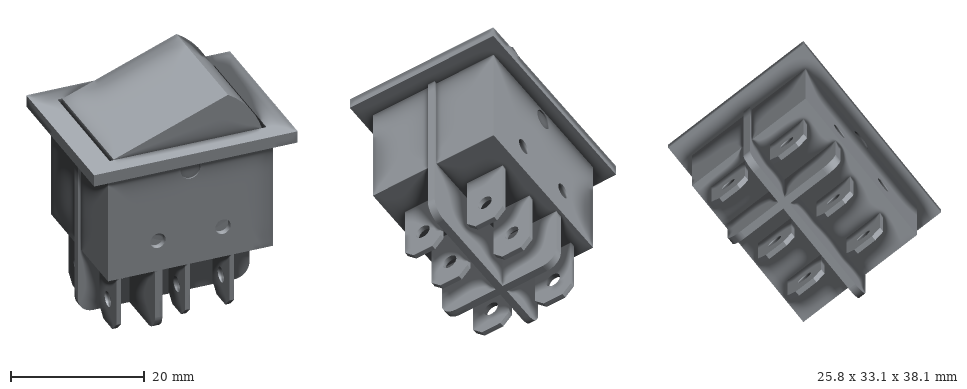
import cadquery as cq
import math

peak_z = 38.1
flange_top_z = 31.12
flange_thickness = 1.95
case_bottom_z = 10.9
flange_bottom_z = flange_top_z - flange_thickness

flange_width = 25.8
flange_length = 33.15
case_width = 21.67
case_length = 26.85
opening_width = 19.8
opening_length = 25.52
floor_thickness = 0.95

rib_thickness = 1.2
rib_corner_radius = 2.48
long_rib_length = 27.92
cross_rib_length = 20.55
cross_rib_y = -4.95

side_hole_diameter = 2.48
side_hole_spacing = 10.6
side_hole_z = 16.07

running_gap = 0.1
pivot_z = 27.27
pivot_diameter = 3.2
pivot_end_recess = 0.23
rocker_radius = opening_length / 2 - running_gap
rocker_width = opening_width - 2 * running_gap
rocker_tilt = 20.5
pivot_length = case_width - 2 * pivot_end_recess

blade_width = 6.4
blade_thickness = 0.8
blade_chamfer = 1.52
blade_bottom_z = 0.1
blade_hole_diameter = 2.45
blade_hole_z = 4.4
blade_column_spacing = 10.9
blade_rows_y = (7.28, 0.08, -11.12)
right_column_shift_y = 0.38


def block(width, length, bottom_z, top_z):
    """Box centred on the Z axis between two heights."""
    return cq.Workplane("XY", origin=(0, 0, bottom_z)).rect(width, length).extrude(top_z - bottom_z)


def cylinder_along_x(diameter, length, y, z):
    """Cylinder parallel to X, centred on the plane X = 0."""
    start = cq.Workplane("YZ", origin=(-length / 2, y, z))
    return start.circle(diameter / 2).extrude(length)


def make_long_rib():
    """Rib along Y that reaches up to the flange and stands proud of the case ends."""
    rib = block(rib_thickness, long_rib_length, 0, flange_bottom_z)
    return rib.edges("|X and <Z").fillet(rib_corner_radius)


def make_cross_rib():
    """Rib along X below the case."""
    rib = block(cross_rib_length, rib_thickness, 0, case_bottom_z)
    return rib.edges("|Y and <Z").fillet(rib_corner_radius).translate((0, cross_rib_y, 0))


def make_housing():
    """Flanged case with its ribs, open at the top, with pivot and side holes."""
    flange = block(flange_width, flange_length, flange_bottom_z, flange_top_z)
    case = block(case_width, case_length, case_bottom_z, flange_bottom_z)
    cavity = block(opening_width, opening_length, case_bottom_z + floor_thickness, flange_top_z)

    housing = flange.union(case).union(make_long_rib()).union(make_cross_rib()).cut(cavity)
    for side in (-1, 1):
        hole_y = side * side_hole_spacing / 2
        housing = housing.cut(cylinder_along_x(side_hole_diameter, case_width, hole_y, side_hole_z))
    return housing.cut(cylinder_along_x(pivot_diameter, case_width, 0, pivot_z))


def make_rocker():
    """Drum cut by the tilted push face, with a pivot stub on each side."""
    peak_angle = math.acos((peak_z - pivot_z) / rocker_radius)
    low_angle = -(peak_angle + 2 * math.radians(rocker_tilt))

    def rim_point(angle):
        """Point on the drum at an angle from +Z towards +Y."""
        return rocker_radius * math.sin(angle), pivot_z + rocker_radius * math.cos(angle)

    drum_bottom = (0, pivot_z - rocker_radius)
    drum = (
        cq.Workplane("YZ", origin=(-rocker_width / 2, 0, 0))
        .moveTo(*rim_point(peak_angle))
        .threePointArc(drum_bottom, rim_point(low_angle))
        .close()
        .extrude(rocker_width)
    )
    return drum.union(cylinder_along_x(pivot_diameter, pivot_length, 0, pivot_z))


def make_blade(x, y):
    """Flat terminal with a chamfered tip and a wire hole, standing against the case floor."""
    blade = block(blade_width, blade_thickness, blade_bottom_z, case_bottom_z)
    blade = blade.edges("|Y and <Z").chamfer(blade_chamfer)
    wire_hole = (
        cq.Workplane("XZ", origin=(0, blade_thickness / 2, blade_hole_z))
        .circle(blade_hole_diameter / 2)
        .extrude(blade_thickness)
    )
    return blade.cut(wire_hole).translate((x, y, 0))


housing = make_housing()
rocker = make_rocker()
blade_columns = (
    (-blade_column_spacing / 2, 0),
    (blade_column_spacing / 2, right_column_shift_y),
)
blades = [
    make_blade(column_x, row_y + column_shift_y)
    for column_x, column_shift_y in blade_columns
    for row_y in blade_rows_y
]

result = cq.Compound.makeCompound(
    [housing.val(), rocker.val(), *[blade.val() for blade in blades]]
)